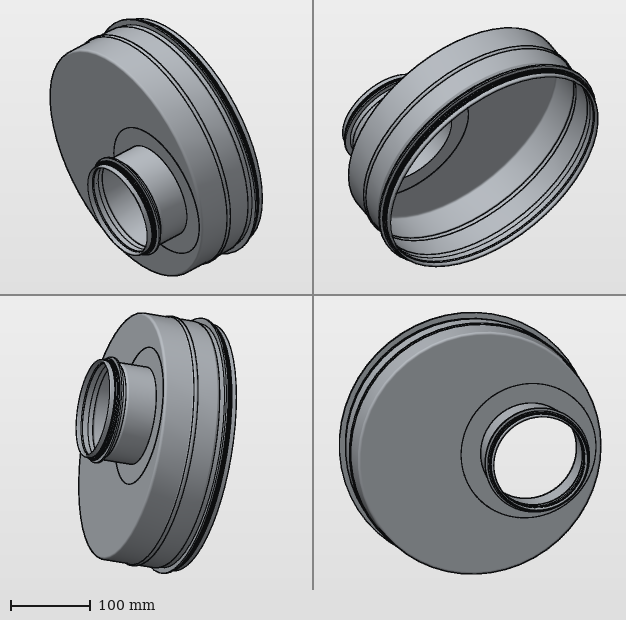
import cadquery as cq
SHEET = 0.5
DRUM_RADIUS = 314.0 / 2
DRUM_LENGTH = 96.0
TOTAL_LENGTH = 157.5
COLLAR_RADIUS = 124.2 / 2
COLLAR_LENGTH = TOTAL_LENGTH - DRUM_LENGTH
COLLAR_OFFSET = 62.5
FLANGE_RADIUS = 174.0 / 2
PLATE_FILLET = 3.2

DRUM_BORE_RADIUS = 308 / 2
COLLAR_BORE_RADIUS = 118.5 / 2
FOLDED_LEG_END = 8.0
GROOVE_START = 6.5
GROOVE_END = 22.0
SLOPE_END = 24.5
WALL_START = 25.5
ROUNDING_DEPTH = 0.3

BEAD_START = 51.0
BEAD_END = 59.0
BEAD_HEIGHT = 2.0
BEAD_FOOT = 1.3
FOOT_HEIGHT = 1.0
FOOT_SAG = 0.3

SEAL_END = 16.0
SHOULDER_HEIGHT = 1.3
SHORT_LIP_HEIGHT = 4.5
STEP_HEIGHT = 3.0
STEP_START = 7.8
SHORT_LIP_START = 9.5
SHORT_LIP_END = 11.0
TALL_LIP_HEIGHT = 7.0
TALL_LIP_START = 13.5


def section():
    """Sketch plane for half sections: first coordinate is the radius, second runs inward from the rim."""
    return cq.Workplane(cq.Plane(origin=(0, 0, 0), xDir=(1, 0, 0), normal=(0, 0, -1)))


def revolved(outline):
    return outline.close().revolve(360, (0, 0, 0), (0, 1, 0))


def groove_floor(bore_radius):
    """The groove floor lies two sheets outside the bore: the folded leg and the wall itself."""
    return bore_radius + 2 * SHEET


def rounding_middle(radius):
    """Middle point of the arc that rounds the groove slope into the wall."""
    return (radius - ROUNDING_DEPTH / 4, (SLOPE_END + WALL_START) / 2)


def grooved_rim_outside(radius, bore_radius):
    """Outline from the end of the folded leg, round the rim, through the groove and up to the wall."""
    floor = groove_floor(bore_radius)
    fold_radius = (radius - bore_radius) / 2
    return (
        section()
        .moveTo(bore_radius, FOLDED_LEG_END)
        .lineTo(bore_radius, fold_radius)
        .threePointArc((bore_radius + fold_radius, 0), (radius, fold_radius))
        .lineTo(radius, GROOVE_START)
        .lineTo(floor, GROOVE_START)
        .lineTo(floor, GROOVE_END)
        .lineTo(radius - ROUNDING_DEPTH, SLOPE_END)
        .threePointArc(rounding_middle(radius), (radius, WALL_START))
    )


def grooved_rim_inside(outline, radius, bore_radius):
    """Continue an outline from inside the wall back along the groove to the end of the folded leg."""
    inside = radius - SHEET
    floor_inside = groove_floor(bore_radius) - SHEET
    return (
        outline.lineTo(inside, WALL_START)
        .threePointArc(rounding_middle(inside), (inside - ROUNDING_DEPTH, SLOPE_END))
        .lineTo(floor_inside, GROOVE_END)
        .lineTo(floor_inside, FOLDED_LEG_END)
    )


def bead(outline, radius, start, end):
    """Continue a wall outline over the bead: hollow foot, round crown, hollow foot."""
    toward_end = 1 if end > start else -1
    foot = toward_end * BEAD_FOOT
    foot_radius = radius + FOOT_HEIGHT
    foot_middle_radius = radius + FOOT_HEIGHT / 2 - FOOT_SAG
    return (
        outline.lineTo(radius, start)
        .threePointArc((foot_middle_radius, start + foot / 2), (foot_radius, start + foot))
        .threePointArc((radius + BEAD_HEIGHT, (start + end) / 2), (foot_radius, end - foot))
        .threePointArc((foot_middle_radius, end - foot / 2), (radius, end))
    )


def make_drum():
    inside = DRUM_RADIUS - SHEET
    plate_inside = DRUM_LENGTH - SHEET
    fillet_radius = DRUM_RADIUS - PLATE_FILLET
    fillet_start = DRUM_LENGTH - PLATE_FILLET
    outline = grooved_rim_outside(DRUM_RADIUS, DRUM_BORE_RADIUS)
    outline = bead(outline, DRUM_RADIUS, BEAD_START, BEAD_END)
    outline = (
        outline.lineTo(DRUM_RADIUS, fillet_start)
        .tangentArcPoint((fillet_radius, DRUM_LENGTH), relative=False)
        .lineTo(0, DRUM_LENGTH)
        .lineTo(0, plate_inside)
        .lineTo(fillet_radius, plate_inside)
        .tangentArcPoint((inside, fillet_start), relative=False)
    )
    outline = bead(outline, inside, BEAD_END, BEAD_START)
    outline = grooved_rim_inside(outline, DRUM_RADIUS, DRUM_BORE_RADIUS)
    flange_hole = (
        cq.Workplane("XZ", origin=(COLLAR_OFFSET, -plate_inside, 0))
        .circle(FLANGE_RADIUS)
        .extrude(SHEET)
    )
    return revolved(outline).cut(flange_hole)


def make_collar():
    flange_inside = COLLAR_LENGTH + SHEET
    outline = (
        grooved_rim_outside(COLLAR_RADIUS, COLLAR_BORE_RADIUS)
        .lineTo(COLLAR_RADIUS, COLLAR_LENGTH)
        .lineTo(FLANGE_RADIUS, COLLAR_LENGTH)
        .lineTo(FLANGE_RADIUS, flange_inside)
        .lineTo(COLLAR_RADIUS - SHEET, flange_inside)
    )
    outline = grooved_rim_inside(outline, COLLAR_RADIUS, COLLAR_BORE_RADIUS)
    return revolved(outline)


def make_seal(bore_radius):
    """Rubber ring in the groove, with a stepped short lip near the rim and a tall lip behind it."""
    floor = groove_floor(bore_radius)
    shoulder = floor + SHOULDER_HEIGHT
    step = floor + STEP_HEIGHT
    short_lip = floor + SHORT_LIP_HEIGHT
    tall_lip = floor + TALL_LIP_HEIGHT
    return revolved(
        section()
        .moveTo(floor, GROOVE_START)
        .lineTo(shoulder, GROOVE_START)
        .lineTo(shoulder, STEP_START)
        .lineTo(step, STEP_START)
        .lineTo(step, SHORT_LIP_START)
        .lineTo(short_lip, SHORT_LIP_START)
        .lineTo(short_lip, SHORT_LIP_END)
        .lineTo(shoulder, SHORT_LIP_END)
        .lineTo(shoulder, TALL_LIP_START)
        .lineTo(tall_lip, TALL_LIP_START)
        .lineTo(tall_lip, SEAL_END)
        .lineTo(floor, SEAL_END)
    )


def on_collar_axis(body):
    """Turn a body so that its rim faces -Y, and move it to the collar end."""
    return body.rotate((0, 0, 0), (0, 0, 1), 180).translate((COLLAR_OFFSET, -TOTAL_LENGTH, 0))


drum = make_drum()
drum_seal = make_seal(DRUM_BORE_RADIUS)
collar = on_collar_axis(make_collar())
collar_seal = on_collar_axis(make_seal(COLLAR_BORE_RADIUS))

result = cq.Compound.makeCompound([drum.val(), drum_seal.val(), collar.val(), collar_seal.val()])